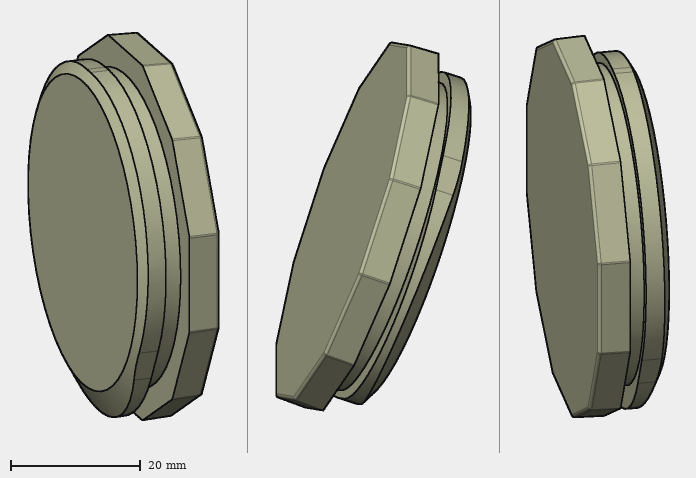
import cadquery as cq
import math

overall_height = 58.2
across_flats = 57.9
side_count = 12
head_thickness = 5.05
head_draft = 2.0
head_edge_radius = 0.5

neck_diameter = 50.0
neck_length = 2.95

flange_thickness = 4.0
flange_top = 26.3
flange_bottom = overall_height - across_flats / 2
top_flat_half_width = 0.8
shoulder_radius = 25.7
side_flat_angle = 30.0

front_face_radius = 24.7
bevel_angle = 30.0

flange_back = -neck_length


def plane_at(y):
    """Plane facing -Y, with local x along +X and local y along +Z."""
    return cq.Workplane(cq.Plane(origin=(0, y, 0), xDir=(1, 0, 0), normal=(0, -1, 0)))


def make_head():
    """Drafted dodecagon with flats up and sideways and rounded edges."""
    corner_circle = across_flats / math.cos(math.pi / side_count)
    half_side_angle = 180 / side_count
    prism = (
        cq.Workplane(cq.Plane(origin=(0, 0, 0), xDir=(1, 0, 0), normal=(0, 1, 0)))
        .transformed(rotate=(0, 0, half_side_angle))
        .polygon(side_count, corner_circle)
        .extrude(head_thickness, taper=head_draft)
    )
    rounded_sides = prism.edges("not(<Y or >Y)").fillet(head_edge_radius)
    return rounded_sides.faces(">Y").edges().fillet(head_edge_radius)


def make_neck():
    """Round neck between the head and the flange."""
    return plane_at(0).circle(neck_diameter / 2).extrude(neck_length)


def make_flange():
    """Rounded outline with a top flat, two slanted side flats and a bottom lobe."""
    angle = math.radians(side_flat_angle)
    shoulder_center_x = top_flat_half_width
    shoulder_center_z = flange_top - shoulder_radius

    def on_shoulder(direction):
        return (
            shoulder_center_x + shoulder_radius * math.cos(direction),
            shoulder_center_z + shoulder_radius * math.sin(direction),
        )

    side_flat_distance = (
        shoulder_radius + shoulder_center_x * math.cos(angle) - shoulder_center_z * math.sin(angle)
    )
    lobe_drop = (flange_bottom - side_flat_distance) / (1 - math.sin(angle))
    lobe_radius = flange_bottom - lobe_drop

    top_x = top_flat_half_width
    mid_x, mid_z = on_shoulder((math.pi / 2 - angle) / 2)
    upper_x, upper_z = on_shoulder(-angle)
    lower_x = lobe_radius * math.cos(angle)
    lower_z = -lobe_drop - lobe_radius * math.sin(angle)

    return (
        plane_at(flange_back)
        .moveTo(-top_x, flange_top)
        .lineTo(top_x, flange_top)
        .threePointArc((mid_x, mid_z), (upper_x, upper_z))
        .lineTo(lower_x, lower_z)
        .threePointArc((0, -flange_bottom), (-lower_x, lower_z))
        .lineTo(-upper_x, upper_z)
        .threePointArc((-mid_x, mid_z), (-top_x, flange_top))
        .close()
        .extrude(flange_thickness)
    )


def make_bevel_cone():
    """Cone whose narrow end is the round front face; it bevels the flange."""
    spread = flange_thickness / math.tan(math.radians(bevel_angle))
    return (
        plane_at(flange_back)
        .circle(front_face_radius + spread)
        .workplane(offset=flange_thickness)
        .circle(front_face_radius)
        .loft()
    )


beveled_flange = make_flange().intersect(make_bevel_cone())
result = make_head().union(make_neck()).union(beveled_flange)